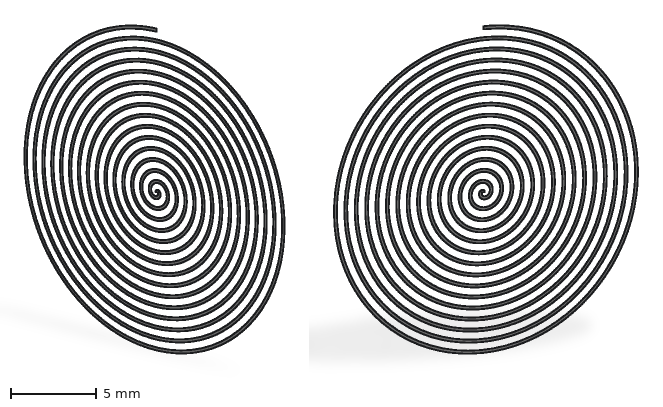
import cadquery as cq
import math

overall_height = 19.87
strip_width = 0.2
thickness = 0.01
turns = 15
points_per_turn = 24

pitch = (overall_height - strip_width) / (2 * turns - 0.5)
growth = pitch / (2 * math.pi)
end_angle = 2 * math.pi * turns

inner_edge_start_angle = 1.1


def edge_point(angle, offset):
    """Point offset outwards from the spiral centreline, at an angle clockwise from +Z."""
    sine = math.sin(angle)
    cosine = math.cos(angle)
    radius = growth * angle
    stretch = math.hypot(1, angle)
    tangent_x = (sine + angle * cosine) / stretch
    tangent_z = (cosine - angle * sine) / stretch
    return (radius * sine - offset * tangent_z, radius * cosine + offset * tangent_x)


def edge_points(start_angle, offset):
    """Evenly spaced points along one edge, from the start angle to the outer end."""
    span = end_angle - start_angle
    count = turns * points_per_turn
    return [edge_point(start_angle + span * i / count, offset) for i in range(count + 1)]


half_width = strip_width / 2
outer_edge = edge_points(0, half_width)
inner_edge = edge_points(inner_edge_start_angle, -half_width)
inner_edge.reverse()

result = (
    cq.Workplane("XZ", origin=(0, thickness / 2, 0))
    .moveTo(*outer_edge[0])
    .spline(outer_edge[1:], includeCurrent=True)
    .lineTo(*inner_edge[0])
    .spline(inner_edge[1:], includeCurrent=True)
    .lineTo(*edge_point(0, -half_width))
    .close()
    .extrude(thickness)
)